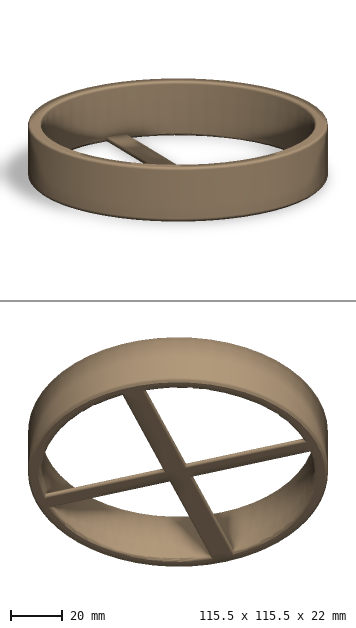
import cadquery as cq
outer_diameter = 115.5
inner_diameter = 105.5
ring_height = 22.0
edge_rounding = 1.0
foot_chamfer = 1.0

x_bar_width = 9.1
y_bar_width = 7.0
bar_thickness = 2.0
bar_rounding = 0.8
bar_length = (outer_diameter + inner_diameter) / 2


def make_ring():
    """Ring standing on Z = 0: rounded edges, and an outer foot chamfer blended into the wall."""
    ring = cq.Workplane("XY").circle(outer_diameter / 2).circle(inner_diameter / 2).extrude(ring_height)
    ring = ring.faces("<Z").edges(cq.selectors.RadiusNthSelector(-1)).chamfer(foot_chamfer)
    foot_corner = ring.faces("<Z").edges(cq.selectors.RadiusNthSelector(-1)).val()
    rounded_edges = ring.edges("%CIRCLE").filter(lambda edge: not edge.isSame(foot_corner))
    return rounded_edges.fillet(edge_rounding)


def make_bar(size_x, size_y):
    """Flat bar lying on Z = 0, centred on the ring axis."""
    return cq.Workplane("XY").box(size_x, size_y, bar_thickness, centered=(True, True, False))


def make_cross():
    """Two crossed bars with their upper and lower edges rounded."""
    cross = make_bar(bar_length, x_bar_width).union(make_bar(y_bar_width, bar_length))
    return cross.faces("|Z").edges().fillet(bar_rounding)


result = make_ring().union(make_cross())